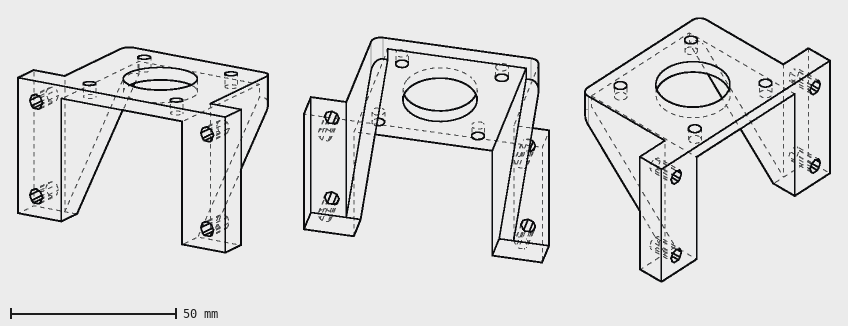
import cadquery as cq
import math

WIDTH = 74.0
DEPTH = 44.0
HEIGHT = 43.0

FLANGE_THICKNESS = 9.0
FLANGE_HOLE_INSET = 6.5
FLANGE_HOLE_SIDES = 8
FLANGE_HOLE_DIAMETER = 4.5

PLATE_WIDTH = 52.0
PLATE_THICKNESS = 4.0
PLATE_CORNER_RADIUS = 3.0
OPENING_WIDTH = 43.0

MOTOR_CENTER_Y = 22.0
MOTOR_BORE_DIAMETER = 22.4
MOTOR_HOLE_DIAMETER = 3.86
MOTOR_HOLE_SPACING = 31.0


def flange():
    """Full-width upright block that bolts to the frame."""
    return cq.Workplane("XY").box(WIDTH, FLANGE_THICKNESS, HEIGHT, centered=(True, False, False))


def gusset_block():
    """Block behind the flange with rounded rear corners and a 45 degree underside."""
    block = (
        cq.Workplane("XY")
        .box(PLATE_WIDTH, DEPTH, HEIGHT, centered=(True, False, False))
        .edges("|Z and >Y")
        .fillet(PLATE_CORNER_RADIUS)
    )
    slope_run = DEPTH - FLANGE_THICKNESS
    underside = (
        cq.Workplane("YZ")
        .moveTo(FLANGE_THICKNESS, 0)
        .lineTo(DEPTH, slope_run)
        .lineTo(DEPTH, 0)
        .close()
        .extrude(PLATE_WIDTH / 2, both=True)
    )
    return block.cut(underside)


def motor_opening():
    """Space under the plate, open at the front, rear and bottom."""
    return cq.Workplane("XY").box(
        OPENING_WIDTH, DEPTH, HEIGHT - PLATE_THICKNESS, centered=(True, False, False)
    )


def motor_holes():
    """Central bore and four screw holes through the plate."""
    pattern = cq.Workplane("XY").center(0, MOTOR_CENTER_Y)
    bore = pattern.circle(MOTOR_BORE_DIAMETER / 2).extrude(HEIGHT)
    screws = (
        pattern.rect(MOTOR_HOLE_SPACING, MOTOR_HOLE_SPACING, forConstruction=True)
        .vertices()
        .circle(MOTOR_HOLE_DIAMETER / 2)
        .extrude(HEIGHT)
    )
    return bore.union(screws)


def flange_hole(x, z):
    """Octagonal bolt hole with a downward teardrop tip, cut flat at the hole radius.

    The 45 degree flanks of the tip start at the two lower diagonal corners of the octagon.
    """
    radius = FLANGE_HOLE_DIAMETER / 2
    corners = []
    for i in range(-1, FLANGE_HOLE_SIDES - 2):
        angle = 2 * math.pi * i / FLANGE_HOLE_SIDES
        corners.append((x + radius * math.cos(angle), z + radius * math.sin(angle)))
    tip_half_width = radius * (math.sqrt(2) - 1)
    corners.append((x - tip_half_width, z - radius))
    corners.append((x + tip_half_width, z - radius))
    return cq.Workplane("XZ").polyline(corners).close().extrude(-FLANGE_THICKNESS)


result = flange().union(gusset_block()).cut(motor_opening()).cut(motor_holes())

flange_hole_x = WIDTH / 2 - FLANGE_HOLE_INSET
for hole_x in (-flange_hole_x, flange_hole_x):
    for hole_z in (FLANGE_HOLE_INSET, HEIGHT - FLANGE_HOLE_INSET):
        result = result.cut(flange_hole(hole_x, hole_z))